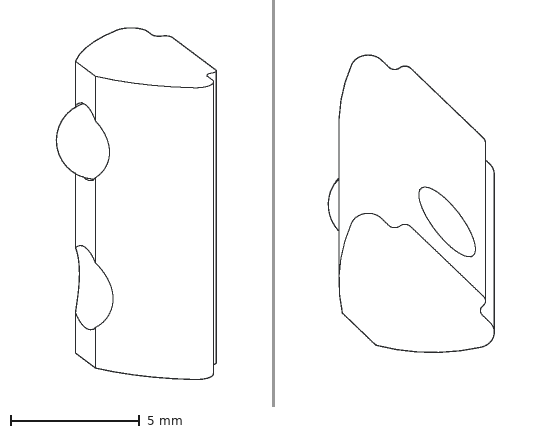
import cadquery as cq
import math

length = 12.0
body_depth = 4.6
back_half_width = 2.42
step_radius = 0.3
shoulder_depth = 2 * step_radius
ear_radius = 0.7
half_width = 3.85
ear_arc_end_depth = 1.62
flank_radius = 7.56
front_half_width = 0.98

screw_hole_diameter = 3.3
screw_hole_z = length / 4
pocket_diameter = 3.05
ball_diameter = 3.0
ball_protrusion = 1.1
ball_z = length - screw_hole_z

ear_center_x = half_width - ear_radius
ear_center_y = -shoulder_depth - ear_radius
ear_end_angle = math.asin((-ear_arc_end_depth - ear_center_y) / ear_radius)
ball_center_y = -body_depth - ball_protrusion + ball_diameter / 2
pocket_floor_y = ball_center_y + ball_diameter / 2


def ear_point(angle, side):
    """Point on the rounded ear; side is 1 for +X and -1 for -X."""
    x = ear_center_x + ear_radius * math.cos(angle)
    y = ear_center_y + ear_radius * math.sin(angle)
    return side * x, y


def nut_profile():
    """Closed outline of the nut, symmetric about X = 0."""
    ear_middle_angle = (math.pi / 2 + ear_end_angle) / 2
    return (
        cq.Workplane("XY")
        .moveTo(-back_half_width + step_radius, 0)
        .lineTo(back_half_width - step_radius, 0)
        .radiusArc((back_half_width, -step_radius), step_radius)
        .radiusArc((back_half_width + step_radius, -shoulder_depth), -step_radius)
        .lineTo(*ear_point(math.pi / 2, 1))
        .threePointArc(ear_point(ear_middle_angle, 1), ear_point(ear_end_angle, 1))
        .radiusArc((front_half_width, -body_depth), flank_radius)
        .lineTo(-front_half_width, -body_depth)
        .radiusArc(ear_point(ear_end_angle, -1), flank_radius)
        .threePointArc(ear_point(ear_middle_angle, -1), ear_point(math.pi / 2, -1))
        .lineTo(-back_half_width - step_radius, -shoulder_depth)
        .radiusArc((-back_half_width, -step_radius), -step_radius)
        .radiusArc((-back_half_width + step_radius, 0), step_radius)
        .close()
    )


def front_bore(diameter, z, floor_y):
    """Cylinder that cuts from the front face back to floor_y."""
    return (
        cq.Workplane("XZ", origin=(0, floor_y, 0))
        .center(0, z)
        .circle(diameter / 2)
        .extrude(body_depth + floor_y)
    )


def make_nut():
    nut = nut_profile().extrude(length)
    nut = nut.cut(front_bore(screw_hole_diameter, screw_hole_z, 0))
    return nut.cut(front_bore(pocket_diameter, ball_z, pocket_floor_y))


def make_ball():
    """Ball resting on the pocket floor and standing proud of the front face."""
    return cq.Workplane("XY", origin=(0, ball_center_y, ball_z)).sphere(ball_diameter / 2)


nut = make_nut()
ball = make_ball()
result = cq.Compound.makeCompound([nut.val(), ball.val()])